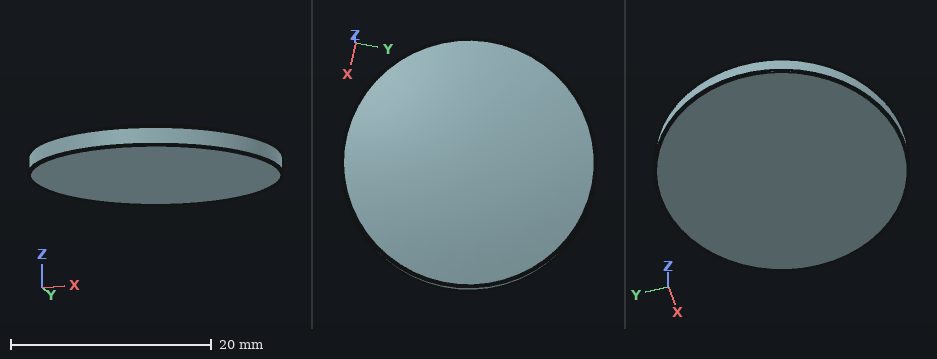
import cadquery as cq

diameter = 25.4
total_height = 4.15
rim_top = 2.03
bevel = 0.15

rim_radius = diameter / 2
face_radius = rim_radius - bevel
cap_height = total_height - rim_top
sphere_radius = (face_radius**2 + cap_height**2) / (2 * cap_height)

mid_radius = face_radius / 2
mid_height = total_height - sphere_radius + (sphere_radius**2 - mid_radius**2) ** 0.5

half_section = (
    cq.Workplane("XZ")
    .lineTo(face_radius, 0)
    .lineTo(rim_radius, bevel)
    .lineTo(rim_radius, rim_top - bevel)
    .lineTo(face_radius, rim_top)
    .threePointArc((mid_radius, mid_height), (0, total_height))
    .close()
)

result = half_section.revolve(360, (0, 0, 0), (0, 1, 0))